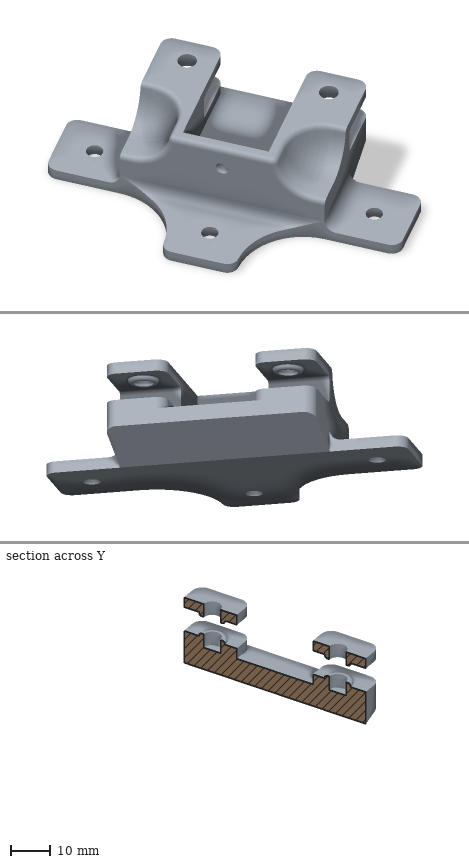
import cadquery as cq

body_width = 55.0
body_depth = 36.0
body_height = 23.0
corner_radius = 3.0
undercut_height = 6.0

pocket_width = 23.0
wall_thickness = 3.0
pocket_floor = 10.0

plate_thickness = 3.0
tab_length = 20.0
tab_width = 20.0
tab_hole_diameter = 4.4
root_radius = 3.0

slot_bottom = 13.0
slot_top = 20.0
slot_end = 20.0
slot_corner_radius = 1.0
pin_x = 19.0
pin_y = 29.0
pin_diameter = 5.0
seat_diameter = 8.0
seat_height = 1.0
pin_hole_bottom = 10.0

scoop_radius = 10.0
scoop_x = 24.5
scoop_y = 7.0
rim_radius = 1.5

wall_hole_diameter = 3.4
wall_hole_height = 16.5

half_width = body_width / 2
half_pocket = pocket_width / 2
half_tab = tab_width / 2
flare_radius = half_width - half_tab
SIDES = (-1, 1)
selection_margin = 0.1


def box(x0, x1, y0, y1, z0, z1):
    """Axis-aligned box between two opposite corners."""
    return cq.Workplane("XY").box(x1 - x0, y1 - y0, z1 - z0, centered=False).translate((x0, y0, z0))


def cylinder(diameter, x, y, z0, z1):
    """Vertical cylinder between two heights."""
    return cq.Workplane("XY", origin=(x, y, z0)).circle(diameter / 2).extrude(z1 - z0)


def scoop(side):
    """Corner cut whose three inner edges are rounded into a ball-shaped inner corner."""
    reach = 2 * scoop_radius
    cutter = box(
        scoop_x - scoop_radius,
        half_width + reach,
        -reach,
        scoop_y + scoop_radius,
        body_height - scoop_radius,
        body_height + reach,
    )
    inner_edges = cutter.edges("(|Z and <X and >Y) or (|X and >Y and <Z) or (|Y and <X and <Z)")
    cutter = inner_edges.fillet(scoop_radius)
    return cutter if side > 0 else cutter.mirror("YZ")


def make_body():
    """Block with scooped corners, rounded rims, rear undercut and open pocket."""
    body = box(-half_width, half_width, 0, body_depth, 0, body_height)
    for side in SIDES:
        body = body.cut(scoop(side))

    reach = scoop_radius + rim_radius
    inside = half_width - selection_margin
    top = body_height + selection_margin
    top_rim = cq.selectors.BoxSelector(
        (-inside, -selection_margin, body_height - selection_margin),
        (inside, scoop_y + reach, top),
    )
    front_rim = cq.selectors.BoxSelector(
        (-inside, -selection_margin, body_height - reach),
        (inside, selection_margin, top),
    )
    body = body.edges(top_rim + front_rim).fillet(rim_radius)

    pocket = box(-half_pocket, half_pocket, wall_thickness, body_depth, pocket_floor, body_height)
    body = body.cut(pocket)
    body = body.edges("|Z").edges(">Y").fillet(corner_radius)

    undercut = (
        cq.Workplane("YZ", origin=(-half_width, 0, 0))
        .polyline([(tab_width, 0), (body_depth, 0), (body_depth, undercut_height)])
        .close()
        .extrude(body_width)
    )
    return body.cut(undercut)


def cut_clevis_slot(body):
    """Horizontal slot that splits each arm into an upper and a lower lug."""
    slot = box(-half_width, half_width, slot_end, body_depth, slot_bottom, slot_top)
    slot = slot.edges("|X and <Y").fillet(slot_corner_radius)
    return body.cut(slot)


def pin_seat():
    """Round seat standing on Z = 0 whose outer edge is rounded over its full height."""
    flat_radius = seat_diameter / 2 - seat_height
    return (
        cq.Workplane("XZ")
        .lineTo(seat_diameter / 2, 0)
        .radiusArc((flat_radius, seat_height), -seat_height)
        .lineTo(0, seat_height)
        .close()
        .revolve(360, (0, 0), (0, 1))
    )


def add_pin_seats(body):
    """Raised seats on both slot faces, with a pin hole from the top into the lower lug."""
    lower_seat = pin_seat()
    upper_seat = lower_seat.mirror("XY")
    for side in SIDES:
        x = side * pin_x
        body = body.union(lower_seat.translate((x, pin_y, slot_bottom)))
        body = body.union(upper_seat.translate((x, pin_y, slot_top)))
        body = body.cut(cylinder(pin_diameter, x, pin_y, pin_hole_bottom, body_height))
    return body


def root_fillet(length):
    """Concave root strip along +X that fills the corner between +Y and +Z."""
    return (
        cq.Workplane("YZ")
        .lineTo(root_radius, 0)
        .radiusArc((0, root_radius), root_radius)
        .close()
        .extrude(length)
    )


def side_tab(side):
    """Flat tab with rounded outer corners and a root fillet against the body."""
    outer = half_width + tab_length
    plate = box(0, outer, 0, tab_width, 0, plate_thickness)
    plate = plate.edges("|Z and >X").fillet(corner_radius)
    root = (
        root_fillet(tab_width)
        .rotate((0, 0, 0), (0, 0, 1), -90)
        .translate((half_width, tab_width, plate_thickness))
    )
    tab = plate.union(root)
    tab = tab.cut(cylinder(tab_hole_diameter, half_width + half_tab, half_tab, 0, plate_thickness))
    return tab if side > 0 else tab.mirror("YZ")


def front_tab():
    """Tab that flares into the full body width through two concave arcs."""
    straight_end = corner_radius - tab_length
    base = box(-half_width, half_width, straight_end, 0, 0, plate_thickness)
    tip = box(-half_tab, half_tab, -tab_length, 0, 0, plate_thickness)
    tip = tip.edges("|Z and <Y").fillet(corner_radius)
    root = (
        root_fillet(body_width)
        .rotate((0, 0, 0), (0, 0, 1), 180)
        .translate((half_width, 0, plate_thickness))
    )
    tab = base.union(tip).union(root)
    for side in SIDES:
        tab = tab.cut(cylinder(2 * flare_radius, side * half_width, -flare_radius, 0, body_height))
    return tab.cut(cylinder(tab_hole_diameter, 0, -half_tab, 0, plate_thickness))


def wall_hole():
    """Drill through the front wall into the pocket."""
    return (
        cq.Workplane("XZ", origin=(0, wall_thickness, wall_hole_height))
        .circle(wall_hole_diameter / 2)
        .extrude(wall_thickness)
    )


result = cut_clevis_slot(make_body())
result = add_pin_seats(result)
for side in SIDES:
    result = result.union(side_tab(side))
result = result.union(front_tab())
result = result.cut(wall_hole())